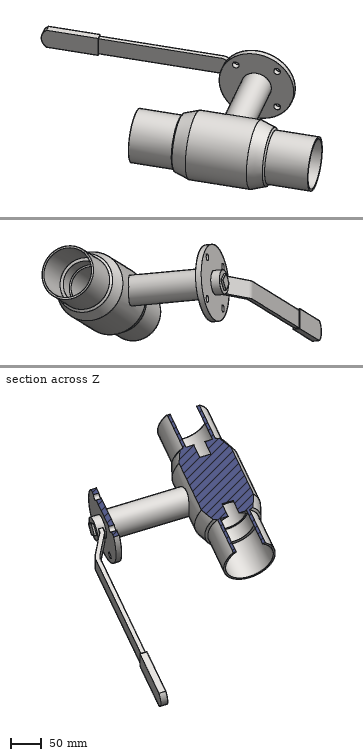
import cadquery as cq
import math

valve_length = 300.0
pipe_diameter = 89.0
pipe_bore = 82.5
body_diameter = 114.0
body_straight_half = 51.0
cone_end = 75.5
cone_end_diameter = 97.5
pipe_shoulder = 78.0
seat_bore = 71.5
seat_depth = 51.0
ball_bore = 65.0

stem_diameter = 50.0
flange_diameter = 125.0
flange_base = 187.0
flange_thickness = 10.0
flange_top = flange_base + flange_thickness
bolt_hole_diameter = 11.0
bolt_circle_diameter = 98.0
bolt_count = 4
hub_diameter = 40.0
hub_height = 15.0
hub_top = flange_top + hub_height
nut_flats = 20.0
nut_height = 3.5

total_length = 521.0
lever_end = valve_length / 2 - total_length
lever_width = 29.5
lever_thickness = 8.0
lever_upper = 231.0
lever_lower = 205.0
lower_bend_x = -21.0
bend_angle = 30.0
bend_inner_radius = 10.5
grip_length = 95.5
grip_width = 33.5
grip_end_radius = 20.0
grip_thickness = 12.0


def along_stem(base, height, diameter):
    """Round boss on the stem axis, starting at the given height."""
    plane = cq.Workplane("XZ", origin=(0, base, 0))
    return plane.circle(diameter / 2).extrude(-height)


def make_body():
    """Pipe ends, cones and cylindrical middle as one turned solid."""
    half_profile = [
        (valve_length / 2, pipe_diameter / 2),
        (pipe_shoulder, pipe_diameter / 2),
        (cone_end, cone_end_diameter / 2),
        (body_straight_half, body_diameter / 2),
    ]
    mirrored = [(-x, radius) for x, radius in reversed(half_profile)]
    ends = [(-valve_length / 2, 0), (valve_length / 2, 0)]
    profile = cq.Workplane("XY").polyline(half_profile + mirrored + ends).close()
    return profile.revolve(360, (0, 0, 0), (1, 0, 0))


def make_bore():
    """Flow passage: through bore, wider seats and pipe bores at both ends."""
    bore = cq.Workplane("YZ").circle(ball_bore / 2).extrude(valve_length / 2, both=True)
    for inner_end, diameter in ((seat_depth, seat_bore), (pipe_shoulder, pipe_bore)):
        for side in (-1, 1):
            start = cq.Workplane("YZ", origin=(side * inner_end, 0, 0))
            depth = valve_length / 2 - inner_end
            bore = bore.union(start.circle(diameter / 2).extrude(side * depth))
    return bore


def make_flange():
    """Round mounting flange with bolt holes between the X and Z directions."""
    holes = (
        cq.Workplane("XZ", origin=(0, flange_base, 0))
        .polarArray(bolt_circle_diameter / 2, 180 / bolt_count, 360, bolt_count)
        .circle(bolt_hole_diameter / 2)
        .extrude(-flange_thickness)
    )
    return along_stem(flange_base, flange_thickness, flange_diameter).cut(holes)


def make_nut():
    """Square spindle end on top of the hub, set with its corners on X and Z."""
    square = cq.Workplane("XZ", origin=(0, hub_top, 0)).rect(nut_flats, nut_flats)
    return square.extrude(-nut_height).rotate((0, 0, 0), (0, 1, 0), 45)


def make_lever():
    """Bar with two bends, its faces offset evenly about its middle line."""
    slope = math.radians(bend_angle)
    upper_bend_x = lower_bend_x - (lever_upper - lever_lower) / math.tan(slope)
    half = lever_thickness / 2
    shift = half * math.tan(slope / 2)
    outline = [
        (lever_end + grip_end_radius, lever_upper + half),
        (upper_bend_x + shift, lever_upper + half),
        (lower_bend_x + shift, lever_lower + half),
        (0, lever_lower + half),
        (0, lever_lower - half),
        (lower_bend_x - shift, lever_lower - half),
        (upper_bend_x - shift, lever_upper - half),
        (lever_end + grip_end_radius, lever_upper - half),
    ]
    bar = cq.Workplane("XY").polyline(outline).close().extrude(lever_width / 2, both=True)

    upper_bend = (
        (upper_bend_x - shift, lever_upper - half, bend_inner_radius),
        (upper_bend_x + shift, lever_upper + half, bend_inner_radius + lever_thickness),
    )
    for x, y, radius in upper_bend:
        bar = bar.edges(cq.selectors.NearestToPointSelector((x, y, 0))).fillet(radius)
    return bar


def make_grip():
    """Thicker sleeve on the lever with an arched free end."""
    half_width = grip_width / 2
    arch_rise = grip_end_radius - math.sqrt(grip_end_radius**2 - half_width**2)
    return (
        cq.Workplane("XZ", origin=(0, lever_upper - grip_thickness / 2, 0))
        .moveTo(lever_end + grip_length, half_width)
        .lineTo(lever_end + arch_rise, half_width)
        .threePointArc((lever_end, 0), (lever_end + arch_rise, -half_width))
        .lineTo(lever_end + grip_length, -half_width)
        .close()
        .extrude(-grip_thickness)
    )


stem = along_stem(0, flange_base, stem_diameter)
hub = along_stem(flange_top, hub_height, hub_diameter)

result = make_body().union(stem).cut(make_bore())
for piece in (make_flange(), hub, make_nut(), make_lever(), make_grip()):
    result = result.union(piece)